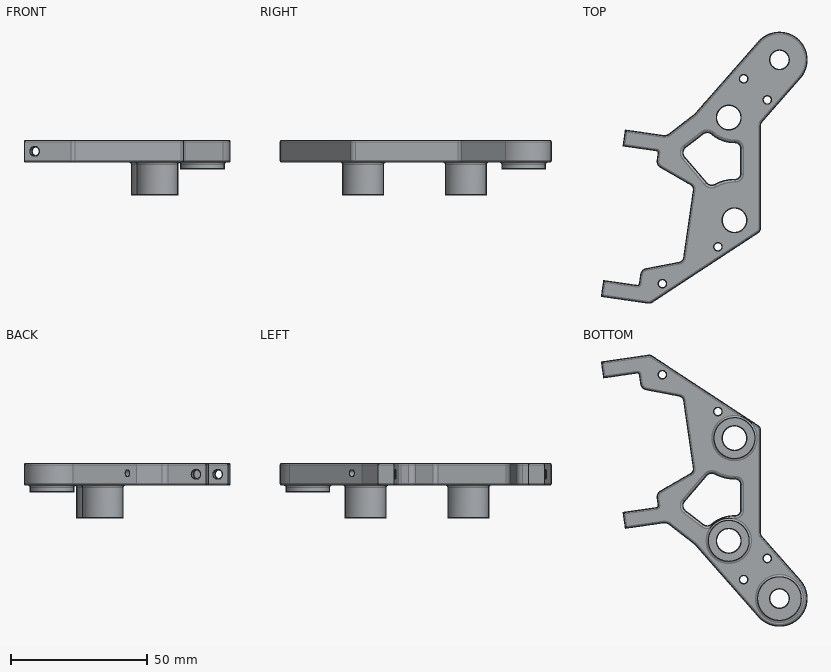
import cadquery as cq
import math

plate_thickness = 8.0
hub_drop = 20.0
end_hub_drop = 10.4
plate_edge_radius = 0.6
window_edge_radius = 1.0
hub_root_radius = 0.8

upper_hub = (46.7, 68.2)
lower_hub = (48.8, 30.5)
end_hub = (65.3, 89.4)
hub_diameter = 15.0
hub_bore = 9.0
end_hub_diameter = 16.0
end_hub_bore = 7.1

pin_diameter = 3.0
pin_centers = [(52.1, 82.4), (60.8, 74.6), (42.7, 20.7), (22.3, 7.2)]

jaw_tilt = math.radians(8.2)
jaw_origin = (-0.1, 2.5)
jaw_height = 61.7
arm_width = 5.9
arm_length = 13.1
jaw_depth = 27.9
upper_step = 5.2
lower_step = 6.0
back_inset = 16.9
shoulder_start = 15.3
arm_hole_diameter = 3.5
arm_hole_inset = 3.8

right_side = 58.3
lower_corner_y = 26.5
keel_start = 18.1
boom_radius = 10.2
shoulder_end_y = 69.5

corner_radius = 2.0
ramp_radius = 2.6
arm_root_radius = 0.7
shoulder_radius = 3.0

window_left = (28.8, 55.6)
window_right = 51.1
window_top = 58.9
window_bottom = 45.5
window_corner_radius = 2.5
window_right_radius = 2.0
top_arc_radius = 12.7
top_arc_sweep = 50.0
bottom_arc_radius = 14.9
bottom_arc_sweep = 36.3

pick_margin = 0.1
drill_overlap = 1.0

cross_hole_diameter = 2.5
cross_hole_offset = 2.2
cross_hole_z = -3.6


def jaw_point(along, across):
    """Turn jaw coordinates (along the arms, across them) into X, Y."""
    return (
        jaw_origin[0] + along * math.cos(jaw_tilt) + across * math.sin(jaw_tilt),
        jaw_origin[1] - along * math.sin(jaw_tilt) + across * math.cos(jaw_tilt),
    )


boom_angle = math.atan2(end_hub[1] - upper_hub[1], end_hub[0] - upper_hub[0])


def boom_point(center, along, left):
    """Offset a point along the boom and to the left of its direction."""
    return (
        center[0] + along * math.cos(boom_angle) - left * math.sin(boom_angle),
        center[1] + along * math.sin(boom_angle) + left * math.cos(boom_angle),
    )


def arc_point(center, radius, degrees):
    """Point on a circle at an angle measured from +X."""
    angle = math.radians(degrees)
    return (center[0] + radius * math.cos(angle), center[1] + radius * math.sin(angle))


def round_corners(solid, corners, radius):
    """Round the upright edges of a prism that stand on the given corners."""
    for x, y in corners:
        box = cq.selectors.BoxSelector(
            (x - pick_margin, y - pick_margin, -plate_thickness),
            (x + pick_margin, y + pick_margin, 0),
        )
        solid = solid.edges("|Z").edges(box).fillet(radius)
    return solid


def make_plate():
    """Flat body with the boom, jaw and keel, all its outer rims rounded."""
    left_tangent = boom_point(end_hub, 0, boom_radius)
    right_tangent = boom_point(end_hub, 0, -boom_radius)
    tip = boom_point(end_hub, boom_radius, 0)
    left_run = (left_tangent[1] - shoulder_end_y) / math.sin(boom_angle)
    right_run = (right_tangent[0] - right_side) / math.cos(boom_angle)
    shoulder_end = boom_point(end_hub, -left_run, boom_radius)
    armpit = boom_point(end_hub, -right_run, -boom_radius)

    shoulder = jaw_point(shoulder_start, jaw_height)
    upper_root = jaw_point(arm_length, jaw_height - arm_width)
    upper_knee = jaw_point(arm_length, jaw_height - arm_width - upper_step)
    back_top = jaw_point(jaw_depth, jaw_height - back_inset)
    back_bottom = jaw_point(jaw_depth, back_inset)
    lower_knee = jaw_point(arm_length, arm_width + lower_step)
    lower_root = jaw_point(arm_length, arm_width)
    keel = jaw_point(keel_start, 0)
    lower_corner = (right_side, lower_corner_y)

    plate = (
        cq.Workplane("XY")
        .moveTo(*left_tangent)
        .threePointArc(tip, right_tangent)
        .lineTo(*armpit)
        .lineTo(*lower_corner)
        .lineTo(*keel)
        .lineTo(*jaw_point(0, 0))
        .lineTo(*jaw_point(0, arm_width))
        .lineTo(*lower_root)
        .lineTo(*lower_knee)
        .lineTo(*back_bottom)
        .lineTo(*back_top)
        .lineTo(*upper_knee)
        .lineTo(*upper_root)
        .lineTo(*jaw_point(0, jaw_height - arm_width))
        .lineTo(*jaw_point(0, jaw_height))
        .lineTo(*shoulder)
        .lineTo(*shoulder_end)
        .close()
        .extrude(-plate_thickness)
    )
    general_corners = [armpit, lower_corner, keel, back_bottom, back_top]
    plate = round_corners(plate, general_corners, corner_radius)
    plate = round_corners(plate, [upper_knee, lower_knee], ramp_radius)
    plate = round_corners(plate, [upper_root, lower_root], arm_root_radius)
    plate = round_corners(plate, [shoulder], shoulder_radius)
    return plate.faces("|Z").edges().fillet(plate_edge_radius)


def cut_window(plate):
    """Five-sided opening whose upper and lower sides bulge inwards around the hubs."""
    arc_x = lower_hub[0]
    top_center = (arc_x, window_top + top_arc_radius)
    bottom_center = (arc_x, window_bottom - bottom_arc_radius)
    apex = arc_point(top_center, top_arc_radius, -90 - top_arc_sweep)
    top_middle = arc_point(top_center, top_arc_radius, -90 - top_arc_sweep / 2)
    foot = arc_point(bottom_center, bottom_arc_radius, 90 + bottom_arc_sweep)
    bottom_middle = arc_point(bottom_center, bottom_arc_radius, 90 + bottom_arc_sweep / 2)
    top_right = (window_right, window_top)
    bottom_right = (window_right, window_bottom)

    window = (
        cq.Workplane("XY")
        .moveTo(*window_left)
        .lineTo(*apex)
        .threePointArc(top_middle, (arc_x, window_top))
        .lineTo(*top_right)
        .lineTo(*bottom_right)
        .lineTo(arc_x, window_bottom)
        .threePointArc(bottom_middle, foot)
        .close()
        .extrude(-plate_thickness)
    )
    window = round_corners(window, [window_left, apex, foot], window_corner_radius)
    window = round_corners(window, [top_right, bottom_right], window_right_radius)

    plate = plate.cut(window)
    around_window = cq.selectors.BoxSelector(
        (window_left[0], foot[1] - pick_margin, -plate_thickness - pick_margin),
        (window_right + pick_margin, apex[1] + pick_margin, pick_margin),
        boundingbox=True,
    )
    return plate.faces("|Z").edges(around_window).fillet(window_edge_radius)


def make_hub(center, diameter, drop):
    """Round hub below the plate, flaring into it with a concave root."""
    radius = diameter / 2
    root_z = -plate_thickness - hub_root_radius
    diagonal = hub_root_radius * (1 - math.sqrt(0.5))
    return (
        cq.Workplane("XZ", origin=(center[0], center[1], 0))
        .moveTo(0, -drop)
        .lineTo(radius, -drop)
        .lineTo(radius, root_z)
        .threePointArc((radius + diagonal, -plate_thickness - diagonal),
                       (radius + hub_root_radius, -plate_thickness))
        .lineTo(radius, -plate_thickness / 2)
        .lineTo(0, -plate_thickness / 2)
        .close()
        .revolve(360, (0, 0, 0), (0, 1, 0))
    )


def make_bore(center, diameter):
    """Upright drill long enough to pass through the plate and any hub."""
    return cq.Workplane("XY").center(*center).circle(diameter / 2).extrude(-hub_drop)


def make_arm_holes():
    """One straight hole across both jaw arms at mid thickness."""
    x, y = jaw_point(arm_hole_inset, -drill_overlap)
    direction = cq.Vector(math.sin(jaw_tilt), math.cos(jaw_tilt), 0)
    start = cq.Vector(x, y, -plate_thickness / 2)
    return cq.Solid.makeCylinder(arm_hole_diameter / 2, jaw_height + 2 * drill_overlap, start, direction)


def make_cross_hole():
    """Drilling from the left flank of the boom that opens into the upper hub bore."""
    x, y = boom_point(upper_hub, -cross_hole_offset, boom_radius + drill_overlap)
    direction = cq.Vector(math.sin(boom_angle), -math.cos(boom_angle), 0)
    start = cq.Vector(x, y, cross_hole_z)
    return cq.Solid.makeCylinder(cross_hole_diameter / 2, boom_radius + drill_overlap, start, direction)


result = cut_window(make_plate())

for center in (upper_hub, lower_hub):
    result = result.union(make_hub(center, hub_diameter, hub_drop))
result = result.union(make_hub(end_hub, end_hub_diameter, end_hub_drop))

for center in (upper_hub, lower_hub):
    result = result.cut(make_bore(center, hub_bore))
result = result.cut(make_bore(end_hub, end_hub_bore))
for center in pin_centers:
    result = result.cut(make_bore(center, pin_diameter))

result = result.cut(make_arm_holes())
result = result.cut(make_cross_hole())